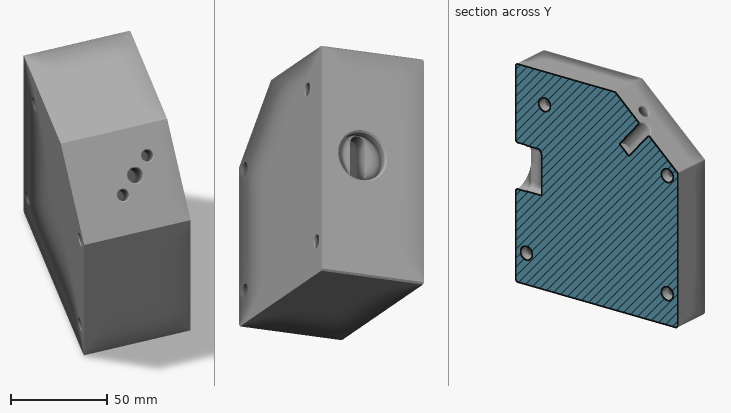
import cadquery as cq
import math

length = 106.0
width = 58.0
height = 123.0
slope_start_x = 65.2
slope_end_z = 87.5
edge_chamfer = 1.0

mount_hole_diameter = 7.4
mount_lower_z = 17.8
mount_right_x = 99.1
mount_hole_centres = [
    (7.1, mount_lower_z),
    (mount_right_x, mount_lower_z),
    (mount_right_x, 84.3),
    (19.0, 104.3),
]

axis_y = 34.8
bore_z = 65.5
bore_diameter = 26.0
bore_depth = 7.0
bore_chamfer = 1.0
slot_width = 8.0
slot_length = 25.5
slot_depth = 10.0
slot_floor_radius = 6.4
slot_flat_floor_top_z = 74.2

slope_hole_x = 84.0
main_hole_diameter = 8.0
main_hole_depth = 19.7
side_hole_diameter = 6.0
side_hole_depth = 14.8
side_hole_offset = 8.6
slope_hole_chamfer = 0.5

slope_run = length - slope_start_x
slope_drop = height - slope_end_z
slope_angle = math.atan2(slope_drop, slope_run)


def make_block():
    """Five-sided prism with its three square corners chamfered."""
    outline = [
        (0, 0),
        (length, 0),
        (length, slope_end_z),
        (slope_start_x, height),
        (0, height),
    ]
    block = cq.Workplane("XZ").polyline(outline).close().extrude(-width)
    square_corners = "|Y and (<X or <Z)"
    return block.edges(square_corners).chamfer(edge_chamfer)


def make_mount_holes():
    """Plain cylinders through the full width."""
    return (
        cq.Workplane("XZ")
        .pushPoints(mount_hole_centres)
        .circle(mount_hole_diameter / 2)
        .extrude(-width)
    )


def make_chamfered_hole(mouth, diameter, depth, chamfer):
    """Blind hole from the mouth plane, against its normal, with a conical lead-in."""
    radius = diameter / 2
    profile = [
        (0, 0),
        (radius + chamfer, 0),
        (radius, -chamfer),
        (radius, -depth),
        (0, -depth),
    ]
    section = cq.Workplane("XZ").polyline(profile).close()
    hole = section.revolve(360, (0, 0, 0), (0, 1, 0))
    return hole.val().moved(cq.Location(mouth))


def make_bore():
    """Chamfered round recess in the -X face."""
    mouth = cq.Plane(origin=(0, axis_y, bore_z), xDir=(0, 1, 0), normal=(-1, 0, 0))
    return make_chamfered_hole(mouth, bore_diameter, bore_depth, bore_chamfer)


def make_slot():
    """Upright slot in the bore floor, whose flat floor curves forward near the top end."""
    floor_x = bore_depth + slot_depth
    slot = (
        cq.Workplane("YZ", origin=(0, axis_y, bore_z))
        .slot2D(slot_length, slot_width, 90)
        .extrude(floor_x)
    )
    curve_top_z = slot_flat_floor_top_z + slot_floor_radius
    floor_limit = (
        cq.Workplane("XY", origin=(0, axis_y, 0))
        .box(floor_x, slot_width, curve_top_z, centered=(False, True, False))
        .edges(">X and >Z")
        .fillet(slot_floor_radius)
    )
    return slot.intersect(floor_limit)


def make_slope_hole(steps, diameter, depth):
    """Hole normal to the slope, moved by steps down the slope and towards -Y."""
    along_slope = steps * side_hole_offset
    x = slope_hole_x + along_slope * math.cos(slope_angle)
    z = height - (x - slope_start_x) * math.tan(slope_angle)
    mouth = cq.Plane(
        origin=(x, axis_y - along_slope, z),
        xDir=(0, 1, 0),
        normal=(math.sin(slope_angle), 0, math.cos(slope_angle)),
    )
    return make_chamfered_hole(mouth, diameter, depth, slope_hole_chamfer)


result = make_block()
result = result.cut(make_mount_holes())
result = result.cut(make_bore())
result = result.cut(make_slot())
result = result.cut(make_slope_hole(0, main_hole_diameter, main_hole_depth))
for side in (-1, 1):
    result = result.cut(make_slope_hole(side, side_hole_diameter, side_hole_depth))